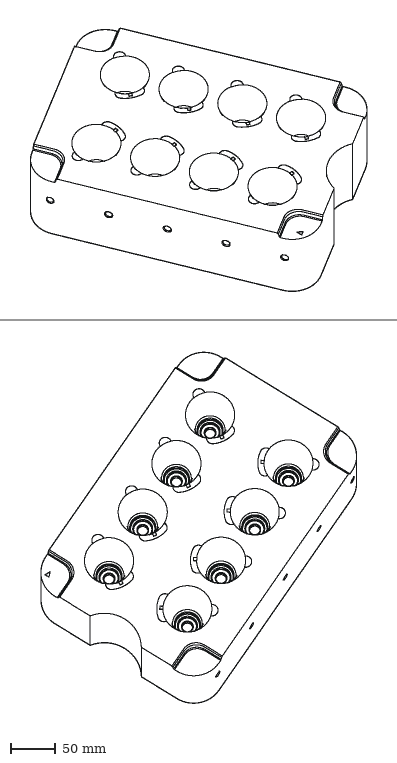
import cadquery as cq
import math

LENGTH = 345.0
WIDTH = 235.0
HEIGHT = 99.0
CORNER_RADIUS = 34.5

SEAT_CORNER_RADIUS = 17.0
SEAT_RIM = (0.0, 41.5)
SEAT_WALL_TOP = (1.7, 40.0)
SEAT_WALL_BOTTOM = (6.0, 39.0)
SEAT_FLOOR = (7.0, 38.0)
SEAT_LEVELS = (SEAT_FLOOR, SEAT_WALL_BOTTOM, SEAT_WALL_TOP, SEAT_RIM)
SEAT_OVERHANG = 34.5

NOTCH_RADIUS = 42.0
NOTCH_DEPTH = 18.3

COLUMN_PITCH = 70.0
ROW_PITCH = 106.3
COLUMN_COUNT = 4
RIM_RADIUS = 28.0
LIP_RADIUS = 27.3
LIP_DEPTH = 2.5
BOWL_START_RADIUS = 26.0
BOWL_START_DEPTH = 6.0
BOWL_END_RADIUS = 17.0
BOWL_LENGTH = 43.5
BOWL_FLARE_RADIUS = 131.0
SOCKET_RADIUS = 15.0
SOCKET_DEPTH = 7.0
SOCKET_FLOOR_CHAMFER = 1.0
RECESS_RADIUS = 10.5
RECESS_CHAMFER = 1.0
RECESS_DEPTH = 3.5
PIN_HOLE_DIAMETER = 12.0
PIN_HOLE_CHAMFER = 0.7
PIN_HOLE_DEPTH = 5.2

RELIEF_RADIUS = 7.0
RELIEF_DEPTH = 0.5
SMALL_RELIEF_ANGLE = 120.0
LARGE_RELIEF_ANGLE = SMALL_RELIEF_ANGLE - 180.0
LARGE_RELIEF_HALF_SWEEP = 21.0

KEY_WIDTH = 3.8
KEY_END_RADIUS = 31.5
KEY_LENGTH = 7.0
KEY_DEPTH = 1.0

CROSS_HOLE_COUNT = 5
CROSS_HOLE_DIAMETER = 8.0
CROSS_HOLE_MOUTH_DIAMETER = 10.0
CROSS_HOLE_Z = 58.3

MARK_TIP_X = 150.5
MARK_Y = -103.5
MARK_LENGTH = 6.2
MARK_WIDTH = 5.2
MARK_DEPTH = 0.7


def centred_positions(count, pitch):
    return [(i - (count - 1) / 2) * pitch for i in range(count)]


def polar(radius, angle):
    return radius * math.cos(math.radians(angle)), radius * math.sin(math.radians(angle))


def make_block():
    block = cq.Workplane("XY").box(LENGTH, WIDTH, HEIGHT, centered=(True, True, False))
    return block.edges("|Z").fillet(CORNER_RADIUS)


def seat_section(level):
    """Rounded square section of the +X +Y seat cutter at one of the seat levels."""
    depth, distance = level
    side = distance + SEAT_OVERHANG
    centre_offset = side / 2 - distance
    sketch = cq.Sketch().rect(side, side).vertices().fillet(SEAT_CORNER_RADIUS)
    centre = cq.Vector(LENGTH / 2 + centre_offset, WIDTH / 2 + centre_offset, HEIGHT - depth)
    return sketch.moved(cq.Location(centre))


def seat_layer(lower, upper):
    return cq.Workplane("XY").placeSketch(seat_section(lower), seat_section(upper)).loft(ruled=True)


def make_seat_cutter():
    """Cutter for the +X +Y corner: chamfered rim, tapered wall and chamfered floor edge."""
    cutter = seat_layer(SEAT_LEVELS[0], SEAT_LEVELS[1])
    for lower, upper in zip(SEAT_LEVELS[1:], SEAT_LEVELS[2:]):
        cutter = cutter.union(seat_layer(lower, upper))
    return cutter


def cut_seats(body):
    seat = make_seat_cutter()
    far_seats = seat.union(seat.mirror("YZ"))
    return body.cut(far_seats).cut(far_seats.mirror("XZ"))


def cut_grip_notch(body):
    centre_x = LENGTH / 2 - NOTCH_DEPTH + NOTCH_RADIUS
    cutter = cq.Workplane("XY").center(centre_x, 0).circle(NOTCH_RADIUS).extrude(HEIGHT)
    return body.cut(cutter)


def make_bowl_cutter():
    """Turned cup: tapered lip and collar, flared bowl, socket, recess and blind pin hole."""
    bowl_end = -BOWL_START_DEPTH - BOWL_LENGTH
    socket_top = bowl_end - (BOWL_END_RADIUS - SOCKET_RADIUS)
    socket_floor = bowl_end - SOCKET_DEPTH
    recess_floor = socket_floor - RECESS_DEPTH
    hole_radius = PIN_HOLE_DIAMETER / 2
    hole_floor = recess_floor - PIN_HOLE_DEPTH
    profile = (
        cq.Workplane("XZ")
        .moveTo(0, 0)
        .lineTo(RIM_RADIUS, 0)
        .lineTo(LIP_RADIUS, -LIP_DEPTH)
        .lineTo(BOWL_START_RADIUS, -BOWL_START_DEPTH)
        .radiusArc((BOWL_END_RADIUS, bowl_end), -BOWL_FLARE_RADIUS)
        .lineTo(SOCKET_RADIUS, socket_top)
        .lineTo(SOCKET_RADIUS, socket_floor + SOCKET_FLOOR_CHAMFER)
        .lineTo(SOCKET_RADIUS - SOCKET_FLOOR_CHAMFER, socket_floor)
        .lineTo(RECESS_RADIUS + RECESS_CHAMFER, socket_floor)
        .lineTo(RECESS_RADIUS, socket_floor - RECESS_CHAMFER)
        .lineTo(RECESS_RADIUS, recess_floor)
        .lineTo(hole_radius + PIN_HOLE_CHAMFER, recess_floor)
        .lineTo(hole_radius, recess_floor - PIN_HOLE_CHAMFER)
        .lineTo(hole_radius, hole_floor)
        .lineTo(0, hole_floor)
        .close()
    )
    return profile.revolve(360, (0, 0, 0), (0, 1, 0))


def round_relief(angle):
    x, y = polar(RIM_RADIUS, angle)
    return cq.Workplane("XY", origin=(x, y, -RELIEF_DEPTH)).circle(RELIEF_RADIUS).extrude(RELIEF_DEPTH)


def make_relief_cutter():
    """A small round relief and, opposite, a large arc-shaped one, both centred on the rim."""
    small = round_relief(SMALL_RELIEF_ANGLE)
    start = LARGE_RELIEF_ANGLE - LARGE_RELIEF_HALF_SWEEP
    end = LARGE_RELIEF_ANGLE + LARGE_RELIEF_HALF_SWEEP
    inner = RIM_RADIUS - RELIEF_RADIUS
    outer = RIM_RADIUS + RELIEF_RADIUS
    large = (
        cq.Workplane("XY", origin=(0, 0, -RELIEF_DEPTH))
        .moveTo(*polar(outer, start))
        .threePointArc(polar(outer, LARGE_RELIEF_ANGLE), polar(outer, end))
        .lineTo(*polar(inner, end))
        .threePointArc(polar(inner, LARGE_RELIEF_ANGLE), polar(inner, start))
        .close()
        .extrude(RELIEF_DEPTH)
    )
    for angle in (start, end):
        large = large.union(round_relief(angle))
    return small.union(large)


def make_cup_cutter():
    key = (
        cq.Workplane("XY", origin=(KEY_END_RADIUS - KEY_LENGTH / 2, 0, -KEY_DEPTH))
        .rect(KEY_LENGTH, KEY_WIDTH)
        .extrude(KEY_DEPTH)
        .rotate((0, 0, 0), (0, 0, 1), LARGE_RELIEF_ANGLE)
    )
    return make_bowl_cutter().union(make_relief_cutter()).union(key)


def cut_cups(body):
    cup = make_cup_cutter()
    for x in centred_positions(COLUMN_COUNT, COLUMN_PITCH):
        far_cup = cup.translate((x, ROW_PITCH / 2, HEIGHT))
        body = body.cut(far_cup).cut(far_cup.mirror("XZ"))
    return body


def cut_cross_holes(body):
    mouth_radius = CROSS_HOLE_MOUTH_DIAMETER / 2
    hole_radius = CROSS_HOLE_DIAMETER / 2
    chamfer = mouth_radius - hole_radius
    side = WIDTH / 2
    profile = (
        cq.Workplane("XY")
        .moveTo(0, -side)
        .lineTo(mouth_radius, -side)
        .lineTo(hole_radius, chamfer - side)
        .lineTo(hole_radius, side)
        .lineTo(0, side)
        .close()
    )
    cutter = profile.revolve(360, (0, 0, 0), (0, 1, 0))
    for x in centred_positions(CROSS_HOLE_COUNT, COLUMN_PITCH):
        body = body.cut(cutter.translate((x, 0, CROSS_HOLE_Z)))
    return body


def cut_direction_mark(body):
    seat_floor = HEIGHT - SEAT_FLOOR[0]
    base_x = MARK_TIP_X + MARK_LENGTH
    mark = (
        cq.Workplane("XY", origin=(0, 0, seat_floor - MARK_DEPTH))
        .moveTo(MARK_TIP_X, MARK_Y)
        .lineTo(base_x, MARK_Y + MARK_WIDTH / 2)
        .lineTo(base_x, MARK_Y - MARK_WIDTH / 2)
        .close()
        .extrude(MARK_DEPTH)
    )
    return body.cut(mark)


result = make_block()
result = cut_seats(result)
result = cut_grip_notch(result)
result = cut_cups(result)
result = cut_cross_holes(result)
result = cut_direction_mark(result)